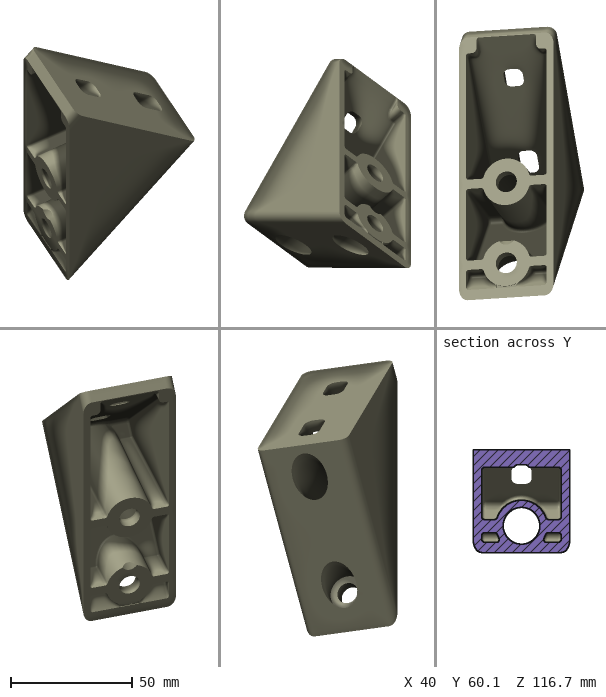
import cadquery as cq
import math

width = 40.0
height = 116.7
depth = 60.1
corner_radius = 3.7

side_wall = 2.9
lower_wall_rise = 4.4
upper_wall_rise = 7.4
draft = 1.0
end_radius = 2.1
pocket_radius = 1.0

boss_radius = 9.9
hole_radius = 4.4
head_bore_radius = 7.5
seat_thickness = 5.1
lower_boss_z = 15.0
boss_pitch = 34.9
rib_thickness = 3.9

block_inner_x = 12.6
block_bottom_z = 106.3
block_radius = 2.1

slot_floor_zs = (67.2, 96.0)
slot_heights = (7.4, 5.7)
slot_flare = 3.5
slot_inner_width = 8.2
slot_outer_width = 9.1
slot_flat = 2.6

notch_radius = 4.5
notch_center_z = 29.3
notch_length = 9.3

relief_width = 8.2
relief_depth = 0.4

blunt_run = 2 * depth - height
front_top_z = height - blunt_run
upper_outer_sum = 2 * depth
upper_inner_sum = upper_outer_sum - upper_wall_rise
apex_y = (upper_inner_sum - lower_wall_rise) / 2
boss_zs = (lower_boss_z, lower_boss_z + boss_pitch)

overrun = 4.7
reach = depth + overrun
tolerance = 0.1


def front_sketch(x, z):
    """Sketch ahead of the front face, centred on (x, z), that extrudes into the part."""
    plane = cq.Plane(origin=(x, -overrun, z), xDir=(-1, 0, 0), normal=(0, 1, 0))
    return cq.Workplane(plane)


def side_prism(points):
    """Full-width prism from (Y, Z) points."""
    return cq.Workplane("YZ").polyline(points).close().extrude(width / 2, both=True)


def outer_wedge():
    outline = [(0, 0), (depth, depth), (blunt_run, height), (0, front_top_z)]
    return side_prism(outline).edges("|(0, 1, 1)").fillet(corner_radius)


def boss_and_rib(z):
    boss = front_sketch(0, z).circle(boss_radius).extrude(reach, taper=-draft)
    rib = front_sketch(0, z).rect(width, rib_thickness).extrude(reach, taper=-draft)
    return boss.union(rib)


def corner_block(side):
    block_width = width / 2 - block_inner_x
    block_height = upper_inner_sum - block_bottom_z
    x = side * (block_inner_x + block_width / 2)
    z = block_bottom_z + block_height / 2
    block = front_sketch(x, z).rect(block_width, block_height).extrude(reach)
    inner_face = "<X" if side > 0 else ">X"
    return block.faces(inner_face).edges("|Y and <Z").fillet(block_radius)


def hollow_space():
    """Drafted opening inside the two legs, less the bosses, ribs and blocks."""
    opening_width = width - 2 * side_wall
    opening = front_sketch(0, height / 2).rect(opening_width, 2 * height).extrude(reach, taper=draft)
    space = side_prism([
        (-overrun, lower_wall_rise - overrun),
        (apex_y, apex_y + lower_wall_rise),
        (0, upper_inner_sum),
        (-overrun, upper_inner_sum),
    ])
    space = space.intersect(opening).edges(">Y").fillet(end_radius)
    for z in boss_zs:
        space = space.cut(boss_and_rib(z))
    for side in (-1, 1):
        space = space.cut(corner_block(side))
    return space


def round_corners(pocket):
    """Round the inside corners of a pocket, leaving the open front and its top edge sharp."""
    edges = []
    for edge in pocket.Edges():
        box = edge.BoundingBox()
        if box.ymax > tolerance and box.zmin < upper_inner_sum - tolerance:
            edges.append(edge)
    return pocket.fillet(pocket_radius, edges)


def pockets():
    """The three pockets that the ribs divide the hollow into."""
    lower, middle, upper = sorted(hollow_space().solids().vals(), key=lambda solid: solid.Center().z)
    middle_end = cq.Workplane(middle).edges("|X").edges(">Y").vals()
    middle = middle.fillet(end_radius, middle_end)
    return [round_corners(pocket) for pocket in (lower, middle, upper)]


def rounded_rectangle(across, along):
    return cq.Sketch().rect(across, along).vertices().fillet((across - slot_flat) / 2)


def slot(floor_z, inner_height):
    """Slot lofted from the inner to the outer face of the upper leg."""
    inner_z = floor_z + inner_height / 2
    plane = cq.Plane(
        origin=(0, upper_inner_sum - inner_z, inner_z),
        xDir=(-1, 0, 0),
        normal=(0, 1, 1),
    )
    inner_length = inner_height * math.sqrt(2)
    outer_length = inner_length + slot_flare * math.sqrt(2)
    leg_thickness = upper_wall_rise / math.sqrt(2)
    outer_shift = (slot_flare - upper_wall_rise) / math.sqrt(2)
    inner = rounded_rectangle(slot_inner_width, inner_length)
    outer = rounded_rectangle(slot_outer_width, outer_length)
    outer = outer.moved(cq.Location(cq.Vector(0, outer_shift, leg_thickness)))
    return cq.Workplane(plane).placeSketch(inner, outer).loft()


def boss_relief():
    """Thin cut under the lower boss that carries the pocket floor across the front face."""
    relief_height = lower_boss_z - lower_wall_rise
    block = cq.Workplane("XY").box(relief_width, relief_depth, relief_height)
    block = block.translate((0, relief_depth / 2, lower_wall_rise + relief_height / 2))
    return block.cut(boss_and_rib(lower_boss_z))


def boss_hole(z):
    through_hole = front_sketch(0, z).circle(hole_radius).extrude(reach)
    head_bore = front_sketch(0, z).circle(head_bore_radius).extrude(reach)
    return through_hole.union(head_bore.translate((0, overrun + seat_thickness, 0)))


def boss_notch():
    plane = cq.Plane(origin=(0, 0, notch_center_z), xDir=(1, 0, 0), normal=(0, 1, 1))
    return cq.Workplane(plane).circle(notch_radius).extrude(notch_length / 2, both=True)


result = outer_wedge()
for pocket in pockets():
    result = result.cut(cq.Workplane(pocket))
for floor_z, inner_height in zip(slot_floor_zs, slot_heights):
    result = result.cut(slot(floor_z, inner_height))
for z in boss_zs:
    result = result.cut(boss_hole(z))
result = result.cut(boss_relief()).cut(boss_notch())